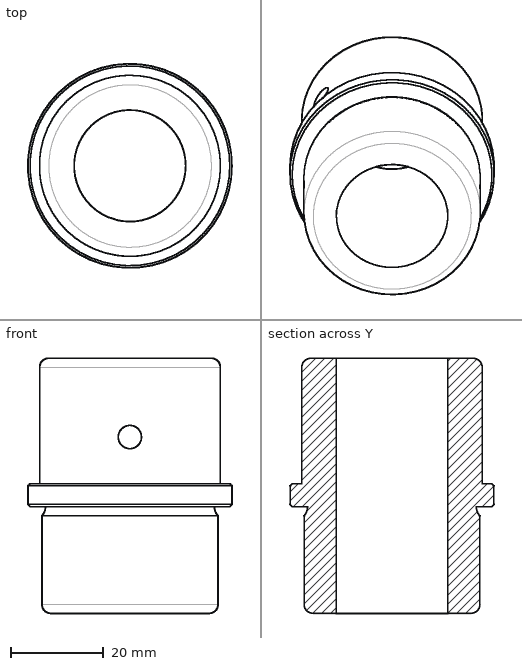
import cadquery as cq

height = 55.0
flange_diameter = 44.0
upper_diameter = 39.0
lower_diameter = 38.0
bore_diameter = 24.0

flange_bottom = 23.0
flange_thickness = 5.0
flange_top = flange_bottom + flange_thickness
flange_chamfer = 0.5

end_radius = 2.0
groove_height = 2.0
groove_depth = 0.75
groove_radius = (groove_height**2 + groove_depth**2) / (2 * groove_depth)

hole_diameter = 5.0
hole_height = 38.0

upper_radius = upper_diameter / 2
lower_radius = lower_diameter / 2
flange_radius = flange_diameter / 2


def turned_body():
    """Revolve the outer half profile about Z."""
    profile = (
        cq.Workplane("XZ")
        .lineTo(lower_radius - end_radius, 0)
        .radiusArc((lower_radius, end_radius), -end_radius)
        .lineTo(lower_radius, flange_bottom - groove_height)
        .radiusArc((lower_radius - groove_depth, flange_bottom), groove_radius)
        .lineTo(flange_radius - flange_chamfer, flange_bottom)
        .lineTo(flange_radius, flange_bottom + flange_chamfer)
        .lineTo(flange_radius, flange_top - flange_chamfer)
        .lineTo(flange_radius - flange_chamfer, flange_top)
        .lineTo(upper_radius, flange_top)
        .lineTo(upper_radius, height - end_radius)
        .radiusArc((upper_radius - end_radius, height), -end_radius)
        .lineTo(0, height)
        .close()
    )
    return profile.revolve(360, (0, 0, 0), (0, 1, 0))


def bore():
    return cq.Workplane("XY").circle(bore_diameter / 2).extrude(height)


def cross_hole():
    """Drill from the axis outward toward -Y."""
    return (
        cq.Workplane("XZ")
        .center(0, hole_height)
        .circle(hole_diameter / 2)
        .extrude(upper_diameter)
    )


result = turned_body().cut(bore()).cut(cross_hole())